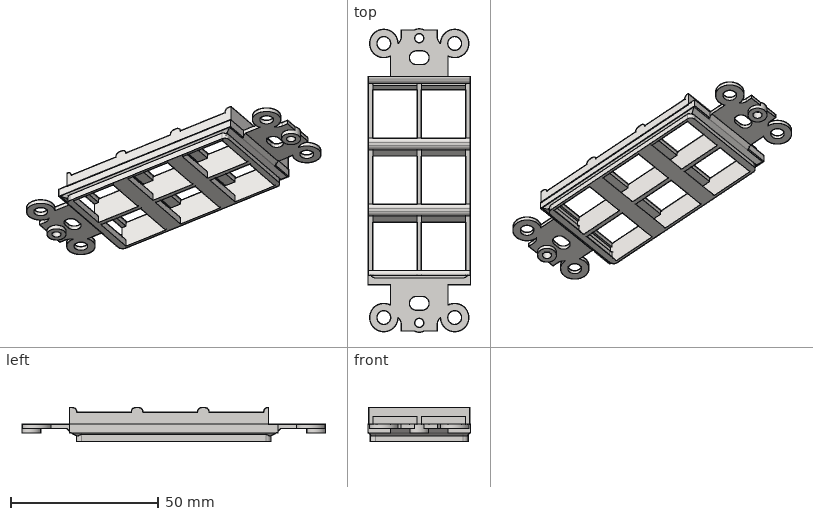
import cadquery as cq
import math


total_height = 11.6
strap_top = 5.95
wall_top = 10.0
ledge_top = 2.7
window_top = 8.45

strap_width = 35.0
strap_half_length = 35.45
rim_bottom = 2.97
side_margin = 0.2
side_bevel_slope = 1.0
end_bevel_slope = 0.58
tab_bottom = 4.4
tab_half_width = 9.8
gusset = 0.9

skirt_width = 33.4
skirt_length = 66.2
skirt_corner_radius = 1.8
upper_width = 34.5
upper_front = -32.25
upper_back = strap_half_length
back_wall_face = 33.57
cell_width = 15.0
divider_thickness = 1.5
cell_count = 3
cell_pitch = 22.5

crest_width = 1.0
rail_radius = 1.5

ramp_foot = -4.65
ramp_head = -1.75
end_ledge_face = 32.35

end_length = 103.25
ear_x = 12.05
ear_y = 46.6
ear_radius = 4.85
ear_hole_diameter = 4.6
tongue_half_width = 6.15
tongue_end = 51.2
notch_radius = 3.3
boss_diameter = 6.45
boss_bottom = 2.85
boss_hole_diameter = 3.0
boss_y = (end_length - boss_diameter) / 2
slot_length = 6.6
slot_width = 4.6
slot_y = 41.75

half_skirt_length = skirt_length / 2
cell_x = (cell_width + divider_thickness) / 2
cells_width = 2 * cell_width + divider_thickness
end_margin = tab_bottom - gusset - rim_bottom
end_bevel_run = strap_half_length - end_margin - half_skirt_length
bevel_bottom = rim_bottom - end_bevel_run * end_bevel_slope
crest_edges = [upper_back - i * cell_pitch for i in range(cell_count + 1)]


def box(x_size, y_start, y_end, z_start, z_end, x_centre=0):
    """Box centred on x_centre that spans the given Y and Z ranges."""
    plan = cq.Workplane("XY", origin=(x_centre, (y_start + y_end) / 2, z_start))
    return plan.rect(x_size, y_end - y_start).extrude(z_end - z_start)


def skirt_block(bottom, top):
    """Round-cornered block with the outline shared by the skirt and the strap opening."""
    plan = cq.Workplane("XY", origin=(0, 0, bottom)).rect(skirt_width, skirt_length)
    return plan.extrude(top - bottom).edges("|Z").fillet(skirt_corner_radius)


def bevelled_section(plane, half_width, margin, slope):
    """Closed section of the rim: flat margins underneath, then bevels down to its lowest level."""
    bevel_start = half_width - margin
    bevel_end = bevel_start - (rim_bottom - bevel_bottom) / slope
    return (
        cq.Workplane(plane)
        .moveTo(-half_width, strap_top)
        .lineTo(-half_width, rim_bottom)
        .lineTo(-bevel_start, rim_bottom)
        .lineTo(-bevel_end, bevel_bottom)
        .lineTo(bevel_end, bevel_bottom)
        .lineTo(bevel_start, rim_bottom)
        .lineTo(half_width, rim_bottom)
        .lineTo(half_width, strap_top)
        .close()
    )


def strap_rim():
    """Rectangular block whose underside slopes down from its margins towards the skirt."""
    across = bevelled_section("XZ", strap_width / 2, side_margin, side_bevel_slope)
    along = bevelled_section("YZ", strap_half_length, end_margin, end_bevel_slope)
    across_body = across.extrude(strap_half_length, both=True)
    along_body = along.extrude(strap_width / 2, both=True)
    return across_body.intersect(along_body)


def tab_plate():
    """Tab on the +Y end: neck, two ears, and a tongue flared into the ears."""
    thickness = strap_top - tab_bottom
    sheet = cq.Workplane("XY", origin=(0, 0, tab_bottom))
    neck = box(2 * tab_half_width, half_skirt_length, ear_y, tab_bottom, strap_top)
    ears = sheet.pushPoints([(-ear_x, ear_y), (ear_x, ear_y)]).circle(ear_radius).extrude(thickness)

    flare_x = ear_x - ear_radius
    flare_rise = math.sqrt(notch_radius**2 - (notch_radius - (flare_x - tongue_half_width)) ** 2)
    flare_top = ear_y + flare_rise
    tongue = (
        sheet.moveTo(-flare_x, ear_y)
        .lineTo(flare_x, ear_y)
        .radiusArc((tongue_half_width, flare_top), notch_radius)
        .lineTo(tongue_half_width, tongue_end)
        .lineTo(-tongue_half_width, tongue_end)
        .lineTo(-tongue_half_width, flare_top)
        .radiusArc((-flare_x, ear_y), notch_radius)
        .close()
        .extrude(thickness)
    )
    return neck.union(ears).union(tongue)


def gusset_fill():
    """Wedge under the tab where it joins the rim."""
    return (
        cq.Workplane("YZ")
        .moveTo(strap_half_length, tab_bottom)
        .lineTo(strap_half_length + gusset, tab_bottom)
        .lineTo(strap_half_length, tab_bottom - gusset)
        .close()
        .extrude(tab_half_width, both=True)
    )


def gusset_trim():
    """Wedge under the gusset face, removed from the rim so that the face runs on to the bevel."""
    return (
        cq.Workplane("YZ")
        .moveTo(strap_half_length, tab_bottom - gusset)
        .lineTo(strap_half_length, rim_bottom)
        .lineTo(strap_half_length - end_margin, rim_bottom)
        .close()
        .extrude(tab_half_width, both=True)
    )


def tab():
    """Complete +Y mounting tab with its boss, holes and slot."""
    boss = (
        cq.Workplane("XY", origin=(0, boss_y, boss_bottom))
        .circle(boss_diameter / 2)
        .extrude(strap_top - boss_bottom)
    )
    plan = cq.Workplane("XY")
    ear_holes = (
        plan.pushPoints([(-ear_x, ear_y), (ear_x, ear_y)])
        .circle(ear_hole_diameter / 2)
        .extrude(strap_top)
    )
    boss_hole = plan.center(0, boss_y).circle(boss_hole_diameter / 2).extrude(strap_top)
    slot = plan.center(0, slot_y).slot2D(slot_length, slot_width).extrude(strap_top)
    body = tab_plate().union(gusset_fill()).union(boss)
    return body.cut(ear_holes).cut(boss_hole).cut(slot)


def make_strap():
    back_tab = tab()
    front_tab = back_tab.mirror("XZ")
    opening = skirt_block(0, strap_top)
    rim = strap_rim().cut(gusset_trim()).cut(gusset_trim().mirror("XZ"))
    return rim.union(back_tab).union(front_tab).cut(opening)


def insert_walls():
    """Side walls, divider and back wall, with two full-length channels cut between them."""
    skirt = skirt_block(0, strap_top)
    upper = box(upper_width, upper_front, upper_back, strap_top, wall_top)
    walls = skirt.union(upper)
    for x in (-cell_x, cell_x):
        walls = walls.cut(box(cell_width, -half_skirt_length, half_skirt_length, 0, strap_top, x))
        walls = walls.cut(box(cell_width, upper_front, back_wall_face, strap_top, wall_top, x))
    return walls.cut(box(skirt_width, -half_skirt_length, upper_front, ledge_top, strap_top))


def cross_rail(crest_edge):
    """Rail over the cells with a flat crest and both upper edges rounded."""
    rear = crest_edge + rail_radius
    crest_front = crest_edge - crest_width
    front = crest_front - rail_radius
    rounding_start = total_height - rail_radius
    return (
        cq.Workplane("YZ")
        .moveTo(rear, window_top)
        .lineTo(rear, rounding_start)
        .radiusArc((crest_edge, total_height), -rail_radius)
        .lineTo(crest_front, total_height)
        .radiusArc((front, rounding_start), -rail_radius)
        .lineTo(front, window_top)
        .close()
        .extrude(upper_width / 2, both=True)
    )


def cross_block(crest_edge):
    """Low block under a rail, flat on top and sloped down into the cell in front of it."""
    return (
        cq.Workplane("YZ")
        .moveTo(crest_edge + ramp_foot, 0)
        .lineTo(crest_edge + ramp_head, ledge_top)
        .lineTo(crest_edge + rail_radius, ledge_top)
        .lineTo(crest_edge + rail_radius, 0)
        .close()
        .extrude(cells_width / 2, both=True)
    )


def make_insert():
    rail_limits = box(upper_width, upper_front, upper_back, 0, total_height)
    block_limits = skirt_block(0, ledge_top)
    body = insert_walls()
    for crest_edge in crest_edges:
        body = body.union(cross_rail(crest_edge).intersect(rail_limits))
        body = body.union(cross_block(crest_edge).intersect(block_limits))
    end_ledge = box(cells_width, end_ledge_face, half_skirt_length, 0, ledge_top)
    return body.union(end_ledge.intersect(block_limits))


strap = make_strap()
insert = make_insert()
result = cq.Compound.makeCompound([strap.val(), insert.val()])